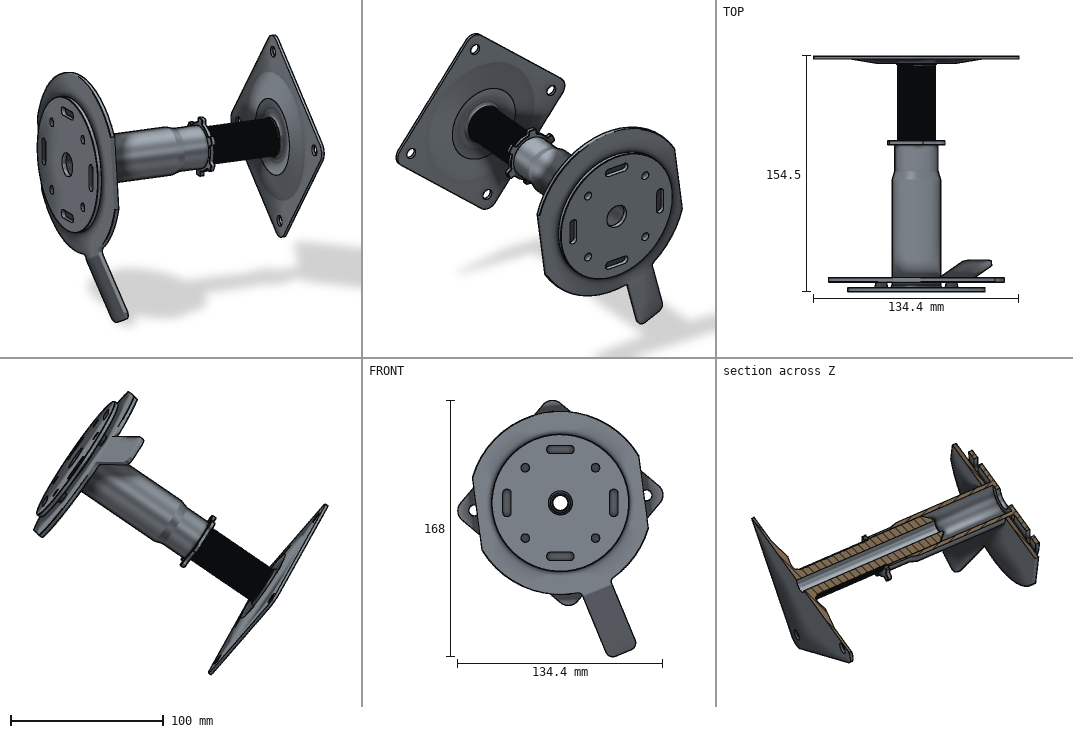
import cadquery as cq
import math


overall_length = 154.5
sheet = 3.0
edge_break = 0.3
lever_gap = 3.4
lever_y = sheet + lever_gap
sleeve_y = 73.5
neck_y = 79.2
ring_y = 96.1
rod_end_y = 50.5

disc_radius = 45.0
column_radius = 16.0
neck_radius = 14.3
weld_leg = 0.7
weld_height = 1.7
disc_hole_radius = 7.9
slot_offset = 35.0
slot_length = 18.0
slot_width = 5.5
standoff_offset = 23.0
standoff_tip_radius = 3.5
standoff_foot_radius = 4.2
standoff_hole_radius = slot_width / 2

lever_radius = 60.0
flat_distance = 55.0
flat_angle = 7.5
handle_angle = 22.5
handle_width = 20.8
handle_offset = 0.5
handle_bend = 15.0
bend_start = 62.0
bend_inner_radius = 3.5
handle_length = 44.5
handle_corner_radius = 5.0
root_fillet = 3.0

ring_radius = 16.5
tab_radius = 20.0
tab_width = 6.0
tab_fillet = 1.3
tab_count = 6
tab_angle = 26.0

foot_side = 100.0
foot_thickness = 2.0
foot_corner_radius = 7.9
foot_rotation = 40.0
foot_hole_pitch = 80.0
foot_hole_radius = 3.5
dish_outer_radius = 42.5
dish_rim_radius = 25.4
dish_height = 4.9
dish_floor_height = 3.4
dish_floor_radius = 18.2
collar_foot_radius = 15.5
collar_tip_radius = 13.1
collar_height = 5.5
thread_radius = 12.5
thread_pitch = 1.0
thread_depth = 0.6
groove_share = 0.7
rod_bore_radius = 4.9
rod_bore_chamfer = 0.5
nose_radius = 6.5


def plane_at(y):
    """Workplane facing -Y at the given station: local x is X, local y is Z."""
    return cq.Workplane("XZ", origin=(0, y, 0))


def turned(profile):
    """Revolve (radius, y) points about the Y axis."""
    return cq.Workplane("XY").polyline(profile).close().revolve(360, (0, 0, 0), (0, 1, 0))


def standoff(x, z):
    """Tapered standoff between the disc and the lever plate."""
    profile = [
        (0, sheet),
        (standoff_foot_radius, sheet),
        (standoff_tip_radius, lever_y),
        (0, lever_y),
    ]
    return turned(profile).translate((x, 0, z))


def make_column():
    """Mounting disc, standoffs and the hollow stepped column that guides the screw."""
    column = turned([
        (disc_hole_radius, 0),
        (disc_radius - edge_break, 0),
        (disc_radius, edge_break),
        (disc_radius, sheet - edge_break),
        (disc_radius - edge_break, sheet),
        (column_radius + weld_leg, sheet),
        (column_radius, sheet + weld_height),
        (column_radius, sleeve_y),
        (neck_radius, neck_y),
        (neck_radius, ring_y),
        (thread_radius, ring_y),
        (thread_radius, sheet),
        (disc_hole_radius, sheet),
    ])
    corners = [(sx * standoff_offset, sz * standoff_offset) for sx in (-1, 1) for sz in (-1, 1)]
    for x, z in corners:
        column = column.union(standoff(x, z))
    column = column.cut(plane_at(0).pushPoints(corners).circle(standoff_hole_radius).extrude(-lever_y))
    for side in (-1, 1):
        level = plane_at(0).center(0, side * slot_offset).slot2D(slot_length, slot_width)
        upright = plane_at(0).center(side * slot_offset, 0).slot2D(slot_length, slot_width, 90)
        column = column.cut(level.extrude(-sheet)).cut(upright.extrude(-sheet))
    return column


def make_handle():
    """Bent handle pointing along -Z, its plate lying in the lever plate's thickness."""
    bend = math.radians(handle_bend)
    bend_outer_radius = bend_inner_radius + sheet
    pivot_y = lever_y + bend_outer_radius

    def on_bend(radius, angle):
        return (pivot_y - radius * math.cos(angle), -bend_start - radius * math.sin(angle))

    def beyond(point):
        return (
            point[0] + handle_length * math.sin(bend),
            point[1] - handle_length * math.cos(bend),
        )

    outer_end = on_bend(bend_outer_radius, bend)
    inner_end = on_bend(bend_inner_radius, bend)
    root_z = -lever_radius / 2
    handle = (
        cq.Workplane("YZ", origin=(handle_offset, 0, 0))
        .moveTo(lever_y, root_z)
        .lineTo(lever_y, -bend_start)
        .threePointArc(on_bend(bend_outer_radius, bend / 2), outer_end)
        .lineTo(*beyond(outer_end))
        .lineTo(*beyond(inner_end))
        .lineTo(*inner_end)
        .threePointArc(on_bend(bend_inner_radius, bend / 2), (lever_y + sheet, -bend_start))
        .lineTo(lever_y + sheet, root_z)
        .close()
        .extrude(handle_width / 2, both=True)
    )
    return handle.faces("<Z").edges("not |X").fillet(handle_corner_radius)


def make_lever():
    """Round lever plate with two flats and a bent handle, free to turn on the column."""
    plate = plane_at(lever_y).circle(lever_radius).extrude(-sheet)
    flats = plane_at(lever_y).rect(2 * flat_distance, 4 * lever_radius).extrude(-sheet)
    plate = plate.intersect(flats.rotate((0, 0, 0), (0, 1, 0), handle_angle - flat_angle))
    lever = plate.union(make_handle())
    root_half_width = handle_width / 2 + abs(handle_offset)
    root_corners = cq.selectors.BoxSelector(
        (-root_half_width - 1.7, 0, -lever_radius),
        (root_half_width + 1.7, neck_y, -lever_radius + 3.4),
    )
    lever = lever.edges("|Y").edges(root_corners).fillet(root_fillet)
    front_outline = lever.faces("<Y").edges("not |X")
    lever = front_outline.fillet(edge_break)
    back_outline = lever.faces(cq.selectors.NearestToPointSelector((0, lever_y + sheet, 0))).edges("not |X")
    lever = back_outline.fillet(edge_break)
    lever = lever.cut(plane_at(lever_y).circle(column_radius).extrude(-sheet))
    return lever.rotate((0, 0, 0), (0, 1, 0), -handle_angle)


def make_lock_ring():
    """Flat ring with radial tabs, threaded on between the neck and the bare screw."""
    step = 360 / tab_count
    blank = plane_at(ring_y).circle(ring_radius).extrude(-sheet)
    for index in range(tab_count):
        tab = plane_at(ring_y).center(tab_radius / 2, 0).rect(tab_radius + 1.7, tab_width).extrude(-sheet)
        blank = blank.union(tab.rotate((0, 0, 0), (0, 1, 0), index * step))
    envelope = plane_at(ring_y).circle(tab_radius).extrude(-sheet)
    blank = blank.intersect(envelope.rotate((0, 0, 0), (0, 1, 0), step / 2))
    blank = blank.edges("|Y").fillet(tab_fillet)
    blank = blank.faces("<Y or >Y").chamfer(edge_break)
    ring = blank.cut(plane_at(ring_y).circle(thread_radius).extrude(-sheet))
    return ring.rotate((0, 0, 0), (0, 1, 0), -tab_angle)


def make_thread_groove(start_y, end_y):
    """Helical V groove around the Y axis between two stations."""
    overlap = 0.08
    half_width = thread_pitch / 2 * groove_share
    helix = cq.Wire.makeHelix(thread_pitch, end_y - start_y, thread_radius)
    groove = (
        cq.Workplane("XZ")
        .polyline([
            (thread_radius - thread_depth, 0),
            (thread_radius + overlap, half_width),
            (thread_radius + overlap, -half_width),
        ])
        .close()
        .sweep(helix, isFrenet=True)
    )
    return groove.rotate((0, 0, 0), (1, 0, 0), -90).translate((0, start_y, 0))


def make_foot():
    """Square foot plate with a raised dish and the hollow screw welded into it."""
    face_y = overall_length - foot_thickness
    plate = plane_at(face_y).rect(foot_side, foot_side).extrude(-foot_thickness)
    plate = plate.edges("|Y").fillet(foot_corner_radius)
    holes = plane_at(face_y).rect(foot_hole_pitch, foot_hole_pitch, forConstruction=True).vertices()
    plate = plate.cut(holes.circle(foot_hole_radius).extrude(-foot_thickness))
    plate = plate.rotate((0, 0, 0), (0, 1, 0), foot_rotation)

    floor_y = overall_length - dish_floor_height
    collar_y = overall_length - collar_height
    sag = 0.42
    dish = (
        cq.Workplane("XY")
        .moveTo(0, overall_length)
        .lineTo(dish_outer_radius, overall_length)
        .lineTo(dish_outer_radius, face_y)
        .lineTo(dish_rim_radius, overall_length - dish_height)
        .lineTo(dish_floor_radius, floor_y)
        .lineTo(collar_foot_radius, floor_y)
        .threePointArc(
            (
                (collar_foot_radius + collar_tip_radius) / 2 - sag,
                (floor_y + collar_y) / 2 + sag,
            ),
            (collar_tip_radius, collar_y),
        )
        .lineTo(0, collar_y)
        .close()
        .revolve(360, (0, 0, 0), (0, 1, 0))
    )
    nose_taper = thread_radius - nose_radius
    rod = turned([
        (0, rod_end_y + rod_bore_chamfer),
        (rod_bore_radius, rod_end_y + rod_bore_chamfer),
        (rod_bore_radius + rod_bore_chamfer, rod_end_y),
        (nose_radius, rod_end_y),
        (thread_radius, rod_end_y + nose_taper),
        (thread_radius, collar_y),
        (0, collar_y),
    ])
    rod = rod.cut(make_thread_groove(ring_y, collar_y - thread_pitch / 2))
    foot = plate.union(dish).union(rod)
    return foot.cut(plane_at(0).circle(rod_bore_radius).extrude(-overall_length))


column = make_column()
lever = make_lever()
lock_ring = make_lock_ring()
foot = make_foot()

result = cq.Compound.makeCompound([column.val(), lever.val(), lock_ring.val(), foot.val()])